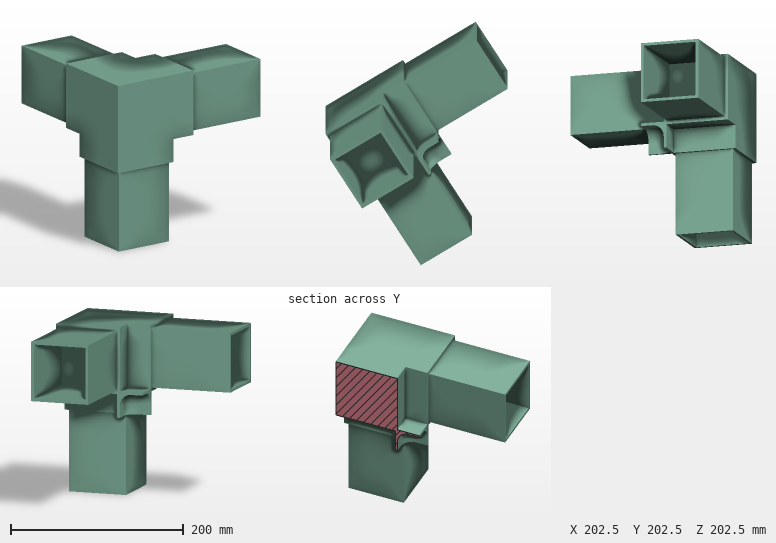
import cadquery as cq

overall = 202.5
block = 106.0
margin = 4.0

tube = 70.0
tube_wall = 3.2
tube_length = overall - block
bore = tube - 2 * tube_wall

notch = block - tube - 2 * margin
web = 3.2
notch_length = block - notch - web
pocket_radius = notch / 2
edge_reach = 0.6 * notch

ARM_SIGNS = (-1, 1, -1)
AXES = range(len(ARM_SIGNS))


def box_between(starts, sizes):
    """Box at given distances from the outer corner, measured along the tube directions."""
    center = [sign * (start + size / 2) for sign, start, size in zip(ARM_SIGNS, starts, sizes)]
    return cq.Workplane("XY").box(*sizes).translate(tuple(center))


def box_along(axis, start, length, side_start, side):
    """Square bar running along one axis from start, offset equally on the other two axes."""
    starts = [start if i == axis else side_start for i in AXES]
    sizes = [length if i == axis else side for i in AXES]
    return box_between(starts, sizes)


def corner_pocket():
    """Cube at the inner corner, with its three buried edges rounded into a spherical corner."""
    cube = box_between([block - notch] * 3, [notch] * 3)
    buried_corner = tuple(sign * (block - notch) for sign in ARM_SIGNS)
    touching = cq.selectors.BoxSelector(
        tuple(c - edge_reach for c in buried_corner),
        tuple(c + edge_reach for c in buried_corner),
    )
    return cube.edges(touching).fillet(pocket_radius)


result = box_between([0] * 3, [block] * 3)

for axis in AXES:
    result = result.union(box_along(axis, block, tube_length, margin, tube))
    result = result.cut(box_along(axis, block, tube_length, margin + tube_wall, bore))

    result = result.cut(box_along(axis, 0, notch_length, block - notch, notch))

result = result.cut(corner_pocket())